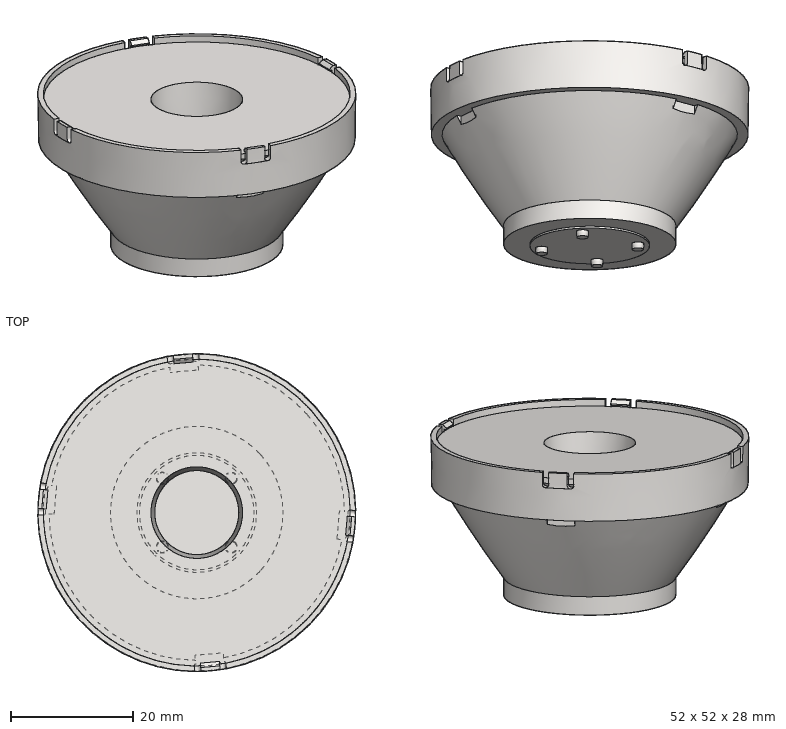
import cadquery as cq

TOTAL_HEIGHT = 28.0
PAD_BOTTOM_Z = 1.0
BASE_BOTTOM_Z = 1.3
BASE_TOP_Z = 4.4
RIM_BOTTOM_Z = 20.0

RIM_RADIUS = 26.0
RIM_BOTTOM_RADIUS = 25.9
RIM_WALL = 0.95
BORE_RADIUS = RIM_RADIUS - RIM_WALL
BASE_RADIUS = 14.1
SHELL_TOP_RADIUS = 24.15
SHELL_BULGE = 0.25
PAD_RADIUS = 9.8

PIN_DIAMETER = 2.0
PIN_TIP_DIAMETER = 1.8
PIN_OFFSET = 5.6
PIN_SHOULDER_Z = 0.5

TAB_ANGLES = (-5, 95, 175, 275)
TAB_WIDTH = 3.1
TAB_RADIUS = 25.95
SLOT_WIDTH = 1.05
SLOT_DEPTH = 2.55
SLOT_BOTTOM_Z = TOTAL_HEIGHT - SLOT_DEPTH
SLOT_OFFSET = (TAB_WIDTH + SLOT_WIDTH) / 2
HOOK_REACH = 0.5
HOOK_TIP_RADIUS = BORE_RADIUS - HOOK_REACH
HOOK_ROOT_OVERLAP = 0.15
HOOK_BOTTOM_DEPTH = 0.8
HOOK_TIP_DEPTH = 0.55
HOOK_BEND_DEPTH = 0.1
HOOK_BEND_RADIUS = BORE_RADIUS
LEAD_IN_RADIUS = BORE_RADIUS + 0.2

WINDOW_WIDTH = 4.65
WINDOW_HEIGHT = 2.1
WINDOW_DISTANCE = 23.2

LENS_RECESS = 1.1
LENS_TOP_Z = TOTAL_HEIGHT - LENS_RECESS
LENS_RIM_THICKNESS = 0.95
LENS_SHOULDER_Z = LENS_TOP_Z - LENS_RIM_THICKNESS
LENS_TIP_RADIUS = 9.35
LENS_HOLE_TOP_RADIUS = 7.5
LENS_HOLE_FLOOR_RADIUS = 6.85
LENS_HOLE_DEPTH = 7.5


def revolve_profile(profile):
    """Turn an XZ profile into a solid of revolution about Z."""
    return profile.close().revolve(360, (0, 0, 0), (0, 1, 0))


def make_lens_blank():
    """Lens without its hole; also the shape of the holder's cavity."""
    return revolve_profile(
        cq.Workplane("XZ")
        .moveTo(0, BASE_TOP_Z)
        .lineTo(LENS_TIP_RADIUS, BASE_TOP_Z)
        .lineTo(BORE_RADIUS, LENS_SHOULDER_Z)
        .lineTo(BORE_RADIUS, LENS_TOP_Z)
        .lineTo(0, LENS_TOP_Z)
    )


def make_lens():
    """Lens with a tapered blind hole in its top face."""
    hole_floor_z = LENS_TOP_Z - LENS_HOLE_DEPTH
    hole = revolve_profile(
        cq.Workplane("XZ")
        .moveTo(0, hole_floor_z)
        .lineTo(LENS_HOLE_FLOOR_RADIUS, hole_floor_z)
        .lineTo(LENS_HOLE_TOP_RADIUS, LENS_TOP_Z)
        .lineTo(0, LENS_TOP_Z)
    )
    return make_lens_blank().cut(hole)


def make_holder_blank():
    """Pad, base, bulged shell and slightly tapered rim, hollowed for the lens."""
    shell_mid = (
        (BASE_RADIUS + SHELL_TOP_RADIUS) / 2 + SHELL_BULGE,
        (BASE_TOP_Z + RIM_BOTTOM_Z) / 2,
    )
    outside = revolve_profile(
        cq.Workplane("XZ")
        .moveTo(0, PAD_BOTTOM_Z)
        .lineTo(PAD_RADIUS, PAD_BOTTOM_Z)
        .lineTo(PAD_RADIUS, BASE_BOTTOM_Z)
        .lineTo(BASE_RADIUS, BASE_BOTTOM_Z)
        .lineTo(BASE_RADIUS, BASE_TOP_Z)
        .threePointArc(shell_mid, (SHELL_TOP_RADIUS, RIM_BOTTOM_Z))
        .lineTo(RIM_BOTTOM_RADIUS, RIM_BOTTOM_Z)
        .lineTo(RIM_RADIUS, TOTAL_HEIGHT)
        .lineTo(0, TOTAL_HEIGHT)
    )
    mouth = cq.Workplane("XY", origin=(0, 0, LENS_TOP_Z)).circle(BORE_RADIUS).extrude(LENS_RECESS)
    return outside.cut(mouth).cut(make_lens_blank())


def make_pin(x, y):
    """Locating pin with a tapered tip below its shoulder."""
    pin_radius = PIN_DIAMETER / 2
    pin = revolve_profile(
        cq.Workplane("XZ")
        .lineTo(PIN_TIP_DIAMETER / 2, 0)
        .lineTo(pin_radius, PIN_SHOULDER_Z)
        .lineTo(pin_radius, BASE_BOTTOM_Z)
        .lineTo(0, BASE_BOTTOM_Z)
    )
    return pin.translate((x, y, 0))


def make_block(inner_x, outer_x, width, bottom_z, height):
    """Box from inner_x to outer_x, centred on the X axis."""
    length = outer_x - inner_x
    block = cq.Workplane("XY").box(length, width, height, centered=(False, True, False))
    return block.translate((inner_x, 0, bottom_z))


def make_slot():
    """Round-bottomed slot through the rim wall on +X."""
    floor_radius = SLOT_WIDTH / 2
    length = RIM_RADIUS - HOOK_TIP_RADIUS
    floor_centre_z = SLOT_BOTTOM_Z + floor_radius
    walls = make_block(HOOK_TIP_RADIUS, RIM_RADIUS, SLOT_WIDTH, floor_centre_z, TOTAL_HEIGHT - floor_centre_z)
    floor = cq.Workplane("YZ", origin=(HOOK_TIP_RADIUS, 0, floor_centre_z)).circle(floor_radius).extrude(length)
    return walls.union(floor)


def make_tab_inset():
    """Thin sliver removed from the rim to set in the outer face of a tab on +X."""
    sector = make_block(BORE_RADIUS, RIM_RADIUS, TAB_WIDTH + SLOT_WIDTH, SLOT_BOTTOM_Z, SLOT_DEPTH)
    core = cq.Workplane("XY", origin=(0, 0, SLOT_BOTTOM_Z)).circle(TAB_RADIUS).extrude(SLOT_DEPTH)
    return sector.cut(core)


def make_window():
    """Block that cuts a vertical flat into the shell below a tab on +X."""
    bottom_z = RIM_BOTTOM_Z - WINDOW_HEIGHT
    return make_block(WINDOW_DISTANCE, RIM_RADIUS, WINDOW_WIDTH, bottom_z, WINDOW_HEIGHT)


def make_hook():
    """Block on the inside of a tab on +X, before its lead-in is cut."""
    return make_block(
        HOOK_TIP_RADIUS,
        BORE_RADIUS + HOOK_ROOT_OVERLAP,
        TAB_WIDTH,
        TOTAL_HEIGHT - HOOK_BOTTOM_DEPTH,
        HOOK_BOTTOM_DEPTH,
    )


def make_lead_in():
    """Space above the two sloping faces of a hook on +X."""
    return (
        cq.Workplane("XZ")
        .moveTo(HOOK_TIP_RADIUS, TOTAL_HEIGHT)
        .lineTo(HOOK_TIP_RADIUS, TOTAL_HEIGHT - HOOK_TIP_DEPTH)
        .lineTo(HOOK_BEND_RADIUS, TOTAL_HEIGHT - HOOK_BEND_DEPTH)
        .lineTo(LEAD_IN_RADIUS, TOTAL_HEIGHT)
        .close()
        .extrude(TAB_WIDTH / 2, both=True)
    )


def add_tab(holder, angle):
    """Form one snap tab, and the flat below it, at the given angle about Z."""

    def turn(shape):
        return shape.rotate((0, 0, 0), (0, 0, 1), angle)

    for side in (-1, 1):
        slot = make_slot().translate((0, side * SLOT_OFFSET, 0))
        holder = holder.cut(turn(slot))
    holder = holder.cut(turn(make_tab_inset()))
    holder = holder.cut(turn(make_window()))
    holder = holder.union(turn(make_hook()))
    return holder.cut(turn(make_lead_in()))


def make_holder():
    """Holder with its pins, snap tabs and shell flats."""
    holder = make_holder_blank()
    for x in (-PIN_OFFSET, PIN_OFFSET):
        for y in (-PIN_OFFSET, PIN_OFFSET):
            holder = holder.union(make_pin(x, y))
    for angle in TAB_ANGLES:
        holder = add_tab(holder, angle)
    return holder


holder = make_holder()
lens = make_lens()

result = cq.Compound.makeCompound([holder.val(), lens.val()])